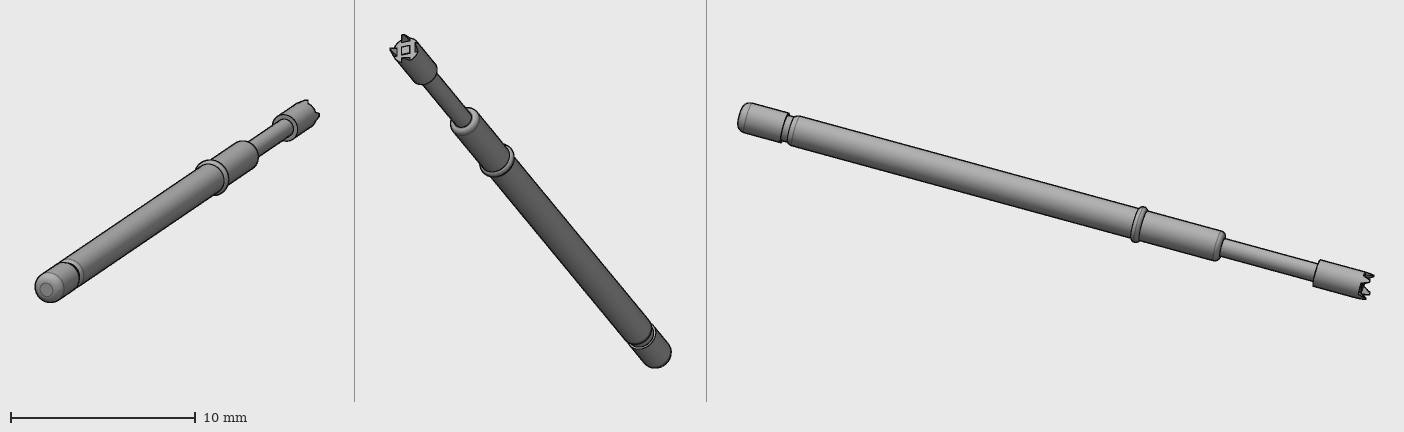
import cadquery as cq
import math

LENGTH = 35.7

BARREL_RADIUS = 0.84
BARREL_END = 27.35
MOUTH_ROUND = 0.3

RING_CENTER = 22.65
RING_RADIUS = 1.0
RING_ROUND = 0.25

TAIL_LENGTH = 2.55
TAIL_ROUND = 0.45
NECK_RADIUS = 0.7
NECK_LENGTH = 0.35
NECK_ROUND_LENGTH = 0.3

ROD_RADIUS = 0.5
HEAD_RADIUS = 0.75
HEAD_LENGTH = 3.0

GROOVE_OFFSET = 0.4
GROOVE_TOP_WIDTH = 0.65
GROOVE_FLOOR_WIDTH = 0.3
GROOVE_DEPTH = 0.43
PIT_RADIUS = 0.5
PIT_DEPTH = 0.4


def revolve_about_y(profile):
    """Close an (r, y) profile and turn it a full circle about the Y axis."""
    return profile.close().revolve(360, (0, 0, 0), (0, 1, 0))


def corner_arc(center_r, center_y, radius, angle):
    """Point on a circle, with the angle in degrees measured from the radial direction."""
    turn = math.radians(angle)
    return (center_r + radius * math.cos(turn), center_y + radius * math.sin(turn))


def make_barrel():
    """Tail plug, neck and barrel as one turned body."""
    tail_flat = BARREL_RADIUS - TAIL_ROUND
    mouth_flat = BARREL_RADIUS - MOUTH_ROUND
    neck_end = TAIL_LENGTH + NECK_LENGTH

    drop = BARREL_RADIUS - NECK_RADIUS
    neck_round = (NECK_ROUND_LENGTH**2 + drop**2) / (2 * drop)
    neck_round_start = neck_end + NECK_ROUND_LENGTH
    neck_round_angle = math.degrees(math.asin(NECK_ROUND_LENGTH / neck_round))
    neck_round_mid = corner_arc(
        BARREL_RADIUS - neck_round, neck_round_start, neck_round, -neck_round_angle / 2
    )

    profile = (
        cq.Workplane("XY")
        .lineTo(tail_flat, 0)
        .threePointArc(
            corner_arc(tail_flat, TAIL_ROUND, TAIL_ROUND, -45),
            (BARREL_RADIUS, TAIL_ROUND),
        )
        .lineTo(BARREL_RADIUS, TAIL_LENGTH)
        .lineTo(NECK_RADIUS, TAIL_LENGTH)
        .lineTo(NECK_RADIUS, neck_end)
        .threePointArc(neck_round_mid, (BARREL_RADIUS, neck_round_start))
        .lineTo(BARREL_RADIUS, BARREL_END - MOUTH_ROUND)
        .threePointArc(
            corner_arc(mouth_flat, BARREL_END - MOUTH_ROUND, MOUTH_ROUND, 45),
            (mouth_flat, BARREL_END),
        )
        .lineTo(0, BARREL_END)
    )
    return revolve_about_y(profile)


def make_press_ring():
    """Torus whose outer half stands proud of the barrel."""
    section = cq.Workplane("XY").moveTo(RING_RADIUS - RING_ROUND, RING_CENTER).circle(RING_ROUND)
    return section.revolve(360, (0, 0, 0), (0, 1, 0))


def make_plunger():
    """Rod and cylindrical head, before the teeth are cut."""
    head_start = LENGTH - HEAD_LENGTH
    profile = (
        cq.Workplane("XY")
        .moveTo(0, BARREL_END)
        .lineTo(ROD_RADIUS, BARREL_END)
        .lineTo(ROD_RADIUS, head_start)
        .lineTo(HEAD_RADIUS, head_start)
        .lineTo(HEAD_RADIUS, LENGTH)
        .lineTo(0, LENGTH)
    )
    return revolve_about_y(profile)


def make_groove(center):
    """Tapered groove running along Z through the crown, centered on the given X."""
    half_top = GROOVE_TOP_WIDTH / 2
    half_floor = GROOVE_FLOOR_WIDTH / 2
    floor = LENGTH - GROOVE_DEPTH
    return (
        cq.Workplane("XY")
        .moveTo(center - half_top, LENGTH)
        .lineTo(center - half_floor, floor)
        .lineTo(center + half_floor, floor)
        .lineTo(center + half_top, LENGTH)
        .close()
        .extrude(HEAD_RADIUS, both=True)
    )


def cut_crown(body):
    """Cut two grooves along Z, two along X, and the round pit between the teeth."""
    for center in (-GROOVE_OFFSET, GROOVE_OFFSET):
        groove = make_groove(center)
        for turn in (0, 90):
            body = body.cut(groove.rotate((0, 0, 0), (0, 1, 0), turn))
    pit = cq.Workplane("XZ", origin=(0, LENGTH, 0)).circle(PIT_RADIUS).extrude(PIT_DEPTH)
    return body.cut(pit)


pin = make_barrel().union(make_press_ring()).union(make_plunger())
result = cut_crown(pin).solids()